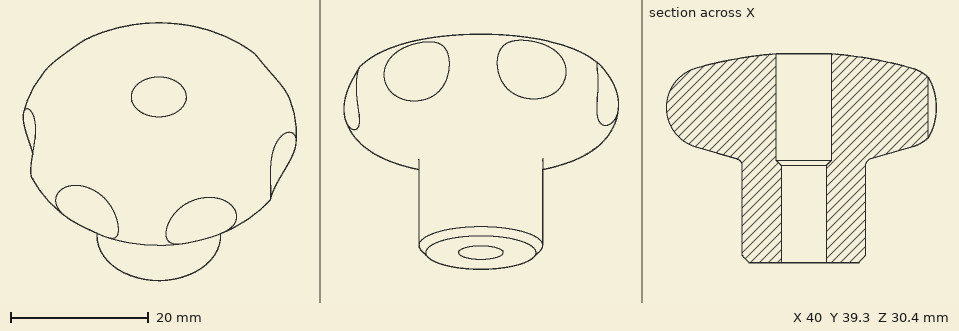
import cadquery as cq
import math

overall_width = 39.95
grip_count = 7
grip_half_angle = math.radians(15.7)
grip_floor = 18.05
first_grip_angle = -90

nearest_grip_angle = math.radians(90 / grip_count)
head_radius = overall_width / 2 / math.cos(grip_half_angle - nearest_grip_angle)
grip_half_chord = head_radius * math.sin(grip_half_angle)
grip_depth = head_radius * math.cos(grip_half_angle) - grip_floor
grip_radius = (grip_half_chord**2 + grip_depth**2) / (2 * grip_depth)

rim_radius = 6.0
rim_height = 22.55
rim_tangent_angle = math.radians(15.9)
rim_center = head_radius - rim_radius

total_height = 30.35
stem_radius = 9.0
stem_chamfer_width = 1.0
stem_chamfer_height = 1.08
neck_fillet = 1.0
stem_bore_radius = 3.25
head_bore_radius = 4.0
bore_step_rise = head_bore_radius - stem_bore_radius

rim_end_radius = rim_center + rim_radius * math.sin(rim_tangent_angle)
rim_end_rise = rim_radius * math.cos(rim_tangent_angle)
dome_start = (rim_end_radius, rim_height + rim_end_rise)
underside_start = (rim_end_radius, rim_height - rim_end_rise)

mouth_edge = (head_bore_radius, total_height)
dome_radius = rim_end_radius / math.sin(rim_tangent_angle)
dome_center_height = dome_start[1] - dome_radius * math.cos(rim_tangent_angle)


def dome_point(radius):
    return (radius, dome_center_height + math.sqrt(dome_radius**2 - radius**2))


neck_height = underside_start[1] - (rim_end_radius - stem_radius) * math.tan(rim_tangent_angle)


def make_body():
    profile = (
        cq.Workplane("XZ")
        .moveTo(0, 0)
        .lineTo(stem_radius - stem_chamfer_width, 0)
        .lineTo(stem_radius, stem_chamfer_height)
        .lineTo(stem_radius, neck_height)
        .lineTo(*underside_start)
        .threePointArc((head_radius, rim_height), dome_start)
        .threePointArc(dome_point((rim_end_radius + head_bore_radius) / 2), mouth_edge)
        .lineTo(0, total_height)
        .close()
    )
    body = profile.revolve(360, (0, 0, 0), (0, 1, 0))
    return body.edges(cq.selectors.NearestToPointSelector((0, 0, neck_height))).fillet(neck_fillet)


def make_grips():
    return (
        cq.Workplane("XY")
        .polarArray(grip_floor + grip_radius, first_grip_angle, 360, grip_count)
        .circle(grip_radius)
        .extrude(total_height)
    )


def make_bore():
    return (
        cq.Workplane("XZ")
        .polyline([
            (0, 0),
            (stem_bore_radius, 0),
            (stem_bore_radius, neck_height - bore_step_rise),
            (head_bore_radius, neck_height),
            mouth_edge,
            (0, total_height),
        ])
        .close()
        .revolve(360, (0, 0, 0), (0, 1, 0))
    )


result = make_body().cut(make_grips()).cut(make_bore())